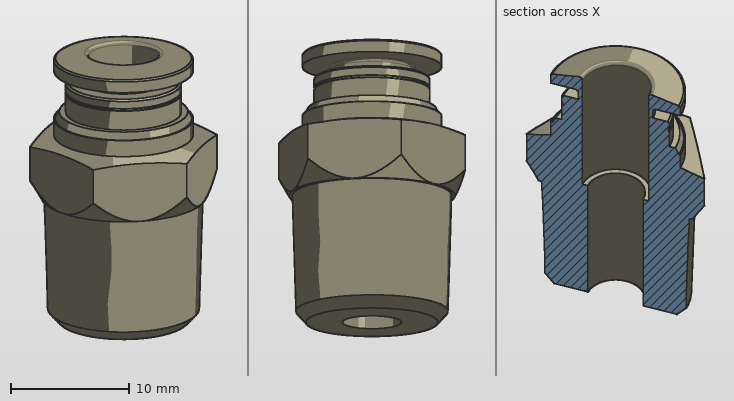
import cadquery as cq
import math

total_height = 23.7

flange_diameter = 11.8
flange_crown_diameter = 11.5
entry_diameter = 6.6
flange_bottom = 22.14
flange_rim_top = 23.08
flange_crown_base = 23.23
neck_diameter = 6.8
neck_fillet = 0.28
tube_diameter = 6.0
entry_radius = (entry_diameter - tube_diameter) / 2

collar_diameter = 9.8
collar_top = 21.16
collar_chamfer = 0.17
groove_bottom = 20.15
groove_width = 0.2
groove_depth = 0.1

shoulder_diameter = 11.8
shoulder_top_diameter = 10.88
shoulder_cone_diameter = 11.55
shoulder_top = 18.46
shoulder_edge = 17.85

across_flats = 14.0
across_corners = across_flats / math.cos(math.radians(30))
hex_bottom = 10.97
hex_top = 16.42
top_chamfer_angle = 15
bottom_chamfer_angle = 60

stem_top_diameter = 13.49
stem_bottom_diameter = 12.87
stem_tip_diameter = 11.16
stem_tip_height = 0.95

through_diameter = 5.0
tube_stop = 11.85


def revolve_profile(points):
    """Turn a closed (radius, height) outline about the Z axis."""
    return cq.Workplane("XZ").polyline(points).close().revolve(360, (0, 0, 0), (0, 1, 0))


def make_round_body():
    """Stem, shoulder, collar and release button as one turned solid."""
    flange_radius = flange_diameter / 2
    neck_radius = neck_diameter / 2
    collar_radius = collar_diameter / 2
    groove_radius = collar_radius - groove_depth
    groove_top = groove_bottom + groove_width
    shoulder_radius = shoulder_diameter / 2
    return revolve_profile([
        (0, 0),
        (stem_tip_diameter / 2, 0),
        (stem_bottom_diameter / 2, stem_tip_height),
        (stem_top_diameter / 2, hex_bottom),
        (shoulder_radius, hex_bottom),
        (shoulder_radius, shoulder_edge),
        (shoulder_cone_diameter / 2, shoulder_edge),
        (shoulder_top_diameter / 2, shoulder_top),
        (collar_radius, shoulder_top),
        (collar_radius, groove_bottom),
        (groove_radius, groove_bottom),
        (groove_radius, groove_top),
        (collar_radius, groove_top),
        (collar_radius, collar_top - collar_chamfer),
        (collar_radius - collar_chamfer, collar_top),
        (neck_radius, collar_top),
        (neck_radius, flange_bottom),
        (flange_radius, flange_bottom),
        (flange_radius, flange_rim_top),
        (flange_crown_diameter / 2, flange_crown_base),
        (entry_diameter / 2, total_height),
        (0, total_height),
    ])


def make_neck_fillet():
    """Flared disc blending the neck into the underside of the flange."""
    neck_radius = neck_diameter / 2
    arc_offset = neck_fillet * (1 - math.sqrt(0.5))
    return (
        cq.Workplane("XZ")
        .moveTo(0, flange_bottom - neck_fillet)
        .lineTo(neck_radius, flange_bottom - neck_fillet)
        .threePointArc(
            (neck_radius + arc_offset, flange_bottom - arc_offset),
            (neck_radius + neck_fillet, flange_bottom),
        )
        .lineTo(0, flange_bottom)
        .close()
        .revolve(360, (0, 0, 0), (0, 1, 0))
    )


def make_hexagon():
    """Hexagon whose corners are trimmed by a cone at each end."""
    prism = (
        cq.Workplane("XY", origin=(0, 0, hex_bottom))
        .polygon(6, across_corners)
        .extrude(hex_top - hex_bottom)
        .rotate((0, 0, 0), (0, 0, 1), 30)
    )
    top_radius = shoulder_diameter / 2
    bottom_radius = across_flats / 2
    corner_radius = across_corners / 2
    top_drop = (corner_radius - top_radius) * math.tan(math.radians(top_chamfer_angle))
    bottom_rise = (corner_radius - bottom_radius) * math.tan(math.radians(bottom_chamfer_angle))
    envelope = revolve_profile([
        (0, hex_bottom),
        (bottom_radius, hex_bottom),
        (corner_radius, hex_bottom + bottom_rise),
        (corner_radius, hex_top - top_drop),
        (top_radius, hex_top),
        (0, hex_top),
    ])
    return prism.intersect(envelope)


def make_bore():
    """Through passage, wider tube socket and rounded entry."""
    through_radius = through_diameter / 2
    tube_radius = tube_diameter / 2
    arc_offset = entry_radius * (1 - math.sqrt(0.5))
    return (
        cq.Workplane("XZ")
        .polyline([
            (0, 0),
            (through_radius, 0),
            (through_radius, tube_stop),
            (tube_radius, tube_stop),
            (tube_radius, total_height - entry_radius),
        ])
        .threePointArc(
            (tube_radius + arc_offset, total_height - arc_offset),
            (entry_diameter / 2, total_height),
        )
        .lineTo(0, total_height)
        .close()
        .revolve(360, (0, 0, 0), (0, 1, 0))
    )


outer_body = make_round_body().union(make_neck_fillet()).union(make_hexagon())
result = outer_body.cut(make_bore())